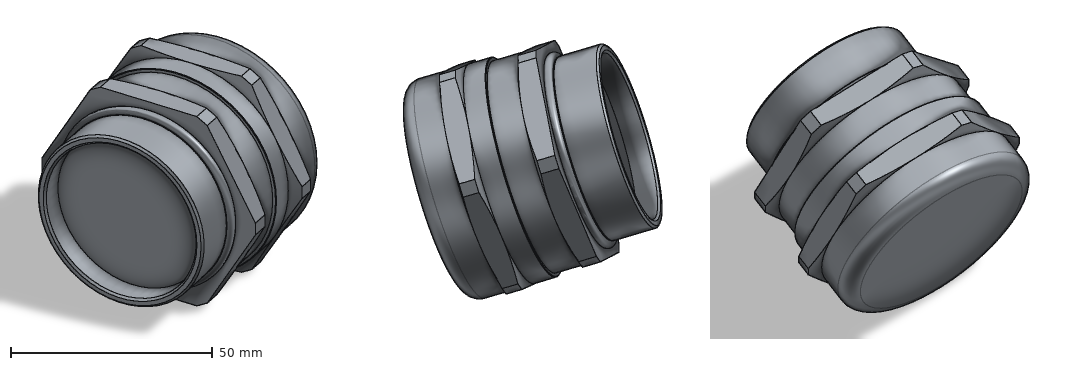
import cadquery as cq
import math


length = 51.0
overall_width = 63.8
cap_flats = 57.0
body_flats = 55.0
thread_diameter = 47.8
neck_diameter = 47.4
bore_diameter = 43.15
bore_depth = 6.25
cap_round = 4.0
cap_edge_chamfer = 0.2
entry_chamfer = 0.6
hex_width = 6.0
cap_bevel_angle = 15
body_bevel_angle = 21

points_per_flats = 1 / math.cos(math.pi / 6)

corner_cut = (cap_flats * points_per_flats - overall_width) / 2

thread_end = 11.75
body_hex_start = 14.0
body_hex_end = body_hex_start + hex_width
cap_start = 28.0
cap_hex_start = 33.95
cap_hex_end = cap_hex_start + hex_width

ring_section = 2.4
ring_protrusion = 2.05
ring_diameter = 50.8
ring_center_radius = (ring_diameter - ring_section) / 2
ring_center_y = body_hex_start - ring_protrusion + ring_section / 2


def cross_section(station):
    """Workplane across the axis; positive extrusions run toward the open end."""
    return cq.Workplane("XZ", origin=(0, station, 0))


def cylinder(diameter, start, end):
    """Round bar along Y between two stations."""
    return cross_section(end).circle(diameter / 2).extrude(end - start)


def hexagon(flats, start, end):
    """Hexagonal bar along Y, flats facing +Z and -Z, with its corners cut flat."""
    points = flats * points_per_flats
    corner_flats = points - 2 * corner_cut
    bar = cross_section(end).polygon(6, points).extrude(end - start)
    corners = cross_section(end).polygon(6, corner_flats * points_per_flats).extrude(end - start)
    return bar.intersect(corners.rotate((0, 0, 0), (0, 1, 0), 30))


def bevel_blank(flats, start, end, angle, bevel_start):
    """Turned blank whose conical ends begin at the across-flats circle."""
    inner = flats / 2
    outer = inner * points_per_flats
    drop = (outer - inner) * math.tan(math.radians(angle))
    outline = cq.Workplane("XY").moveTo(0, start)
    if bevel_start:
        outline = outline.lineTo(inner, start).lineTo(outer, start + drop)
    else:
        outline = outline.lineTo(outer, start)
    outline = outline.lineTo(outer, end - drop).lineTo(inner, end).lineTo(0, end).close()
    return outline.revolve(360, (0, 0, 0), (0, 1, 0))


def beveled_nut(flats, start, end, angle, bevel_start):
    """Hexagon beveled at its +Y face and, if asked, at its -Y face too."""
    return hexagon(flats, start, end).intersect(bevel_blank(flats, start, end, angle, bevel_start))


def make_cap():
    barrel = cylinder(cap_flats, cap_start, length)
    barrel = barrel.faces(">Y").edges().fillet(cap_round)
    barrel = barrel.faces("<Y").edges().chamfer(cap_edge_chamfer)
    return barrel.union(beveled_nut(cap_flats, cap_hex_start, cap_hex_end, cap_bevel_angle, True))


def make_body():
    barrel = cylinder(body_flats, body_hex_start, cap_start)
    return barrel.union(beveled_nut(body_flats, body_hex_start, body_hex_end, body_bevel_angle, False))


def make_thread():
    """Plain threaded end with a blind bore, both rim edges chamfered, and the neck behind it."""
    sleeve = cylinder(thread_diameter, 0, thread_end).cut(cylinder(bore_diameter, 0, bore_depth))
    sleeve = sleeve.faces("<Y").edges().chamfer(entry_chamfer)
    return sleeve.union(cylinder(neck_diameter, thread_end, body_hex_start))


def make_sealing_ring():
    section = cq.Workplane("XY").moveTo(-ring_center_radius, ring_center_y).circle(ring_section / 2)
    return section.revolve(360, (0, 0, 0), (0, 1, 0))


result = make_cap().union(make_body()).union(make_thread()).union(make_sealing_ring())